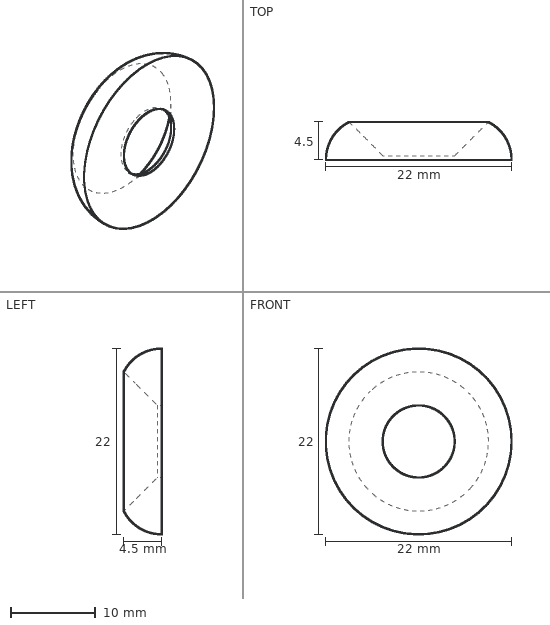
import cadquery as cq

outer_diameter = 22.0
hole_diameter = 8.5
height = 4.5
hole_land = 0.5
dome_radius = 5.0

outer_radius = outer_diameter / 2
hole_radius = hole_diameter / 2
rim_radius = hole_radius + (height - hole_land)


def ring_section():
    """Closed half section, with X as the radius and Y along the axis."""
    return (
        cq.Workplane("XY")
        .moveTo(hole_radius, 0)
        .lineTo(outer_radius, 0)
        .radiusArc((rim_radius, height), -dome_radius)
        .lineTo(hole_radius, hole_land)
        .close()
    )


result = ring_section().revolve(360, (0, 0, 0), (0, 1, 0))